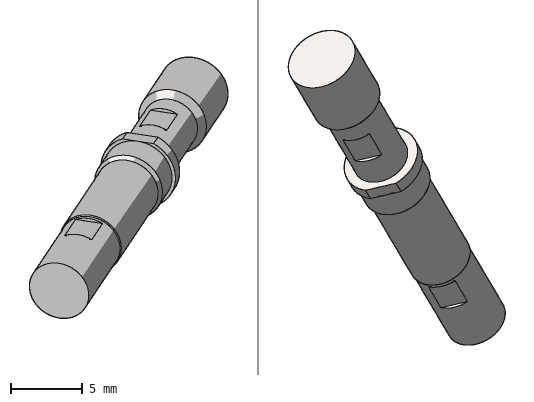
import cadquery as cq
import math

head_dia = 5.0
neck_dia = 4.0
root_dia = 4.05
collar_dia = 5.5
shoulder_dia = head_dia
barrel_dia = 4.55
tip_dia = 4.4

total_length = 31.1
head_end = 5.0
neck_end = 11.32
collar_start = 11.9
collar_length = 1.0
shoulder_end = 15.1
barrel_end = 23.92
collar_end = collar_start + collar_length

shoulder_cone_length = 0.28
barrel_chamfer = (barrel_dia - tip_dia) / 2
neck_step_length = 0.1

collar_across_flats = head_dia
grip_flat_width = 2.0
grip_flat_length = 2.5
neck_flat_start = 6.97
tip_flat_start = 24.2

rear_y = total_length / 2


def turned_body():
    """Revolve the stepped half profile (radius, distance from the rear face) about Y."""
    head_r = head_dia / 2
    neck_r = neck_dia / 2
    root_r = root_dia / 2
    collar_r = collar_dia / 2
    shoulder_r = shoulder_dia / 2
    barrel_r = barrel_dia / 2
    tip_r = tip_dia / 2
    profile = [
        (0, 0),
        (head_r, 0),
        (head_r, head_end),
        (neck_r, head_end + head_r - neck_r),
        (neck_r, neck_end),
        (root_r, neck_end + neck_step_length),
        (root_r, collar_start),
        (collar_r, collar_start),
        (collar_r, collar_end),
        (shoulder_r, collar_end),
        (shoulder_r, shoulder_end),
        (barrel_r, shoulder_end + shoulder_cone_length),
        (barrel_r, barrel_end - barrel_chamfer),
        (tip_r, barrel_end),
        (tip_r, total_length),
        (0, total_length),
    ]
    points = [(radius, rear_y - distance) for radius, distance in profile]
    return cq.Workplane("XY").polyline(points).close().revolve(360, (0, 0), (0, 1))


def cut_flat_pair(body, start, length, half_height):
    """Cut parallel flats at Z = +/- half_height over one length of the axis."""
    clearance = collar_dia
    for side in (1, -1):
        cutter = cq.Workplane("XY").box(clearance, length, clearance).translate(
            (0, rear_y - start - length / 2, side * (half_height + clearance / 2))
        )
        body = body.cut(cutter)
    return body


def chord_height(diameter, chord):
    """Distance from the axis to a flat of the given width on a round section."""
    return math.sqrt((diameter / 2) ** 2 - (chord / 2) ** 2)


result = turned_body()
result = cut_flat_pair(result, collar_start, collar_length, collar_across_flats / 2)
for diameter, start in ((neck_dia, neck_flat_start), (tip_dia, tip_flat_start)):
    grip_half_height = chord_height(diameter, grip_flat_width)
    result = cut_flat_pair(result, start, grip_flat_length, grip_half_height)